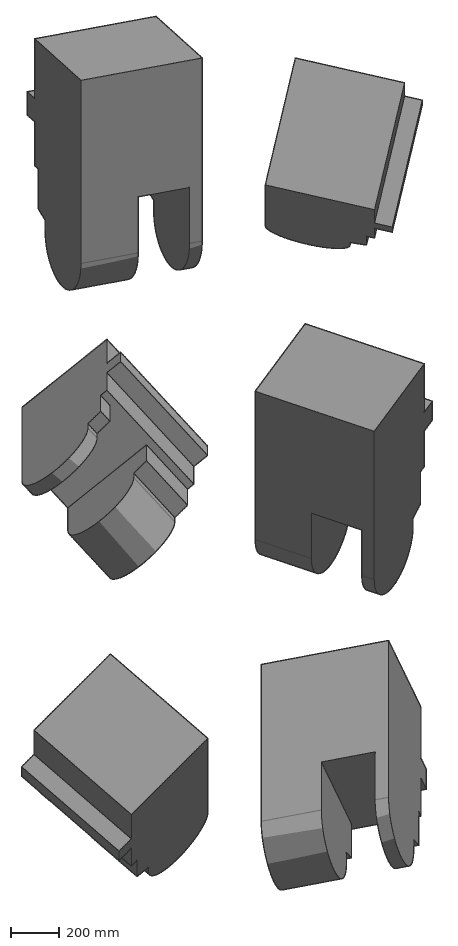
import cadquery as cq

length_x = 538.5
width_y = 550.0
height_z = 1008.0

ledge_projection = 75.0
upper_face_x = ledge_projection
lower_face_step = 34.0
lower_face_x = upper_face_x + lower_face_step

foot_radius = 180.0
foot_face_x = length_x - 2 * foot_radius
foot_center_x = length_x - foot_radius

ledge_top_z = height_z - 270.0
ledge_thickness = 106.0
ledge_bottom_z = ledge_top_z - ledge_thickness
step_z = height_z - 575.0
slope_top_z = height_z - 754.0
slope_drop = 25.0
slope_bottom_z = slope_top_z - slope_drop

wide_leg_width = 260.0
thin_leg_width = 58.0
slot_width = width_y - wide_leg_width - thin_leg_width


def make_body():
    """Side profile in XZ, extruded over the full width along +Y."""
    profile = (
        cq.Workplane("XZ")
        .moveTo(upper_face_x, height_z)
        .lineTo(upper_face_x, ledge_top_z)
        .lineTo(0, ledge_top_z)
        .lineTo(0, ledge_bottom_z)
        .lineTo(upper_face_x, ledge_bottom_z)
        .lineTo(upper_face_x, step_z)
        .lineTo(lower_face_x, step_z)
        .lineTo(lower_face_x, slope_top_z)
        .lineTo(foot_face_x, slope_bottom_z)
        .lineTo(foot_face_x, foot_radius)
        .threePointArc((foot_center_x, 0), (length_x, foot_radius))
        .lineTo(length_x, height_z)
        .close()
    )
    return profile.extrude(-width_y)


def make_slot():
    """Cutter for the slot, open at the front, back and bottom."""
    return cq.Workplane("XY").box(
        length_x, slot_width, step_z, centered=False
    ).translate((0, wide_leg_width, 0))


result = make_body().cut(make_slot())